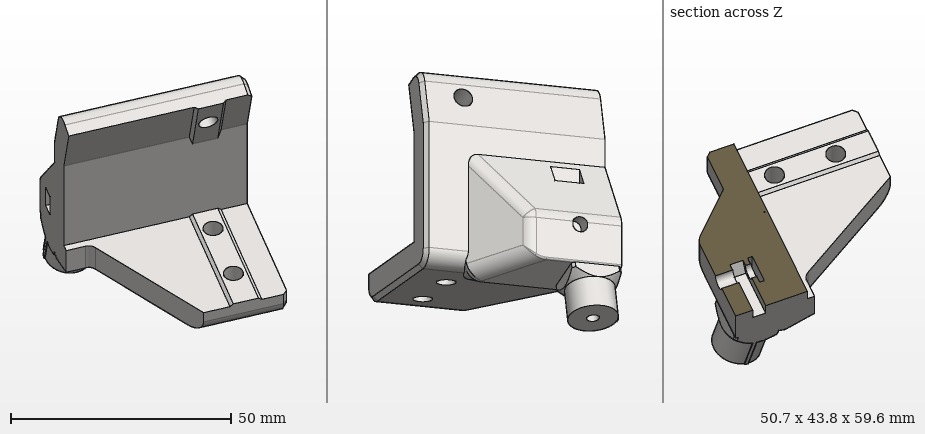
import cadquery as cq
import math

depth = 43.75
thickness = 7.0
shelf_length = 30.1
outer_radius = 4.0
back_chamfer = 1.05

lean = 15.5
lean_start_height = 25.75
lean_length = 13.68

rib_height = 0.65
rib_base_width = 7.6
rib_top_width = 6.0
rib_y = 33.7
mount_hole_diameter = 4.5
shelf_hole_positions = (5.8, 20.85)
lean_hole_distance = 6.3

gusset_angle = 31.9
gusset_end_y = 23.6
gusset_fillet = 2.3

body_back = -17.75
body_top = 20.1
body_slope_bottom = 4.7
body_bottom_back = -6.1
body_lowest_x = -5.6
body_front = 1.7
body_side_y = 33.6
body_side_start_x = -6.6
body_fillet = 4.0
body_edge_fillet = 0.55

stub_axis_x = -15.06
stub_end_z = -18.15
stub_width = 12.0
stub_diameter = 11.6
stub_cylinder_length = 7.6
stub_corner_chamfer = 0.7
stub_key_width = 1.0
stub_hole_diameter = 2.9
stub_hole_depth = 14.0

screw_y = 10.1
screw_z = 2.9
screw_diameter = 3.6
nut_width = 5.8
nut_thickness = 3.1
nut_half_sector = 30.0
nut_slot_back = -13.45
pocket_width = 7.0
pocket_back = -11.0
pocket_front = -8.0
pocket_step_width = 1.15
pocket_step_z = 14.65
pocket_wall_radius = 85.0

reach = 100.0
overlap = 1.0

lean_sin = math.sin(math.radians(lean))
lean_cos = math.cos(math.radians(lean))

stub_length = (body_back - stub_axis_x) * lean_sin + (body_bottom_back - stub_end_z) * lean_cos


def lean_point(along, out):
    """Point on the leaning wall: along it from the bend, and out from its inner face."""
    return (along * lean_sin + out * lean_cos, lean_start_height + along * lean_cos - out * lean_sin)


def side_prism(points, y_start, y_end):
    """Prism along Y over an outline in X and Z."""
    return (
        cq.Workplane("XZ", origin=(0, y_start, 0))
        .polyline(points)
        .close()
        .extrude(y_start - y_end)
    )


def make_bracket():
    bend_offset = thickness * math.tan(math.radians(lean / 2))
    bracket = side_prism(
        [
            (0, 0),
            (shelf_length, 0),
            (shelf_length, -thickness),
            (-thickness, -thickness),
            (-thickness, lean_start_height + bend_offset),
            lean_point(lean_length, -thickness),
            lean_point(lean_length, 0),
            (0, lean_start_height),
        ],
        0,
        depth,
    )
    corners = [
        (shelf_length, -thickness),
        (-thickness, -thickness),
        lean_point(lean_length, -thickness),
    ]
    for x, z in corners:
        corner_edge = cq.selectors.NearestToPointSelector((x, depth / 2, z))
        bracket = bracket.edges("|Y").edges(corner_edge).fillet(outer_radius)

    lean_x, lean_z = lean_point(lean_length / 2, 0)
    outer_edges = bracket.faces(">Y").edges()
    for x, z in [(0, lean_start_height / 2), (shelf_length / 2, 0), (lean_x, lean_z)]:
        inner_edge = cq.selectors.NearestToPointSelector((x, depth, z))
        outer_edges = outer_edges.edges(cq.selectors.InverseSelector(inner_edge))
    return outer_edges.chamfer(back_chamfer)


def rib_section(plane, length):
    """Tapered rib along the plane's normal, standing on its local X axis."""
    return (
        cq.Workplane(plane)
        .polyline(
            [
                (-rib_base_width / 2, -overlap),
                (-rib_base_width / 2, 0),
                (-rib_top_width / 2, rib_height),
                (rib_top_width / 2, rib_height),
                (rib_base_width / 2, 0),
                (rib_base_width / 2, -overlap),
            ]
        )
        .close()
        .extrude(length)
    )


def make_ribs():
    shelf_plane = cq.Plane(origin=(-overlap, rib_y, 0), xDir=(0, 1, 0), normal=(1, 0, 0))
    shelf_rib = rib_section(shelf_plane, shelf_length + overlap)

    run_in = rib_height / math.tan(math.radians(lean)) + overlap
    start_x, start_z = lean_point(-run_in, 0)
    lean_plane = cq.Plane(
        origin=(start_x, rib_y, start_z), xDir=(0, -1, 0), normal=(lean_sin, 0, lean_cos)
    )
    return shelf_rib.union(rib_section(lean_plane, lean_length + run_in))


def make_shelf_trim():
    """Material removed in front of the slanted shelf edge."""
    slope = math.tan(math.radians(gusset_angle))
    trim = (
        cq.Workplane("XY", origin=(0, 0, -reach / 2))
        .polyline(
            [
                (body_front, -overlap),
                (shelf_length + overlap, -overlap),
                (shelf_length + overlap, gusset_end_y + overlap * slope),
                (body_front, gusset_end_y - (shelf_length - body_front) * slope),
            ]
        )
        .close()
        .extrude(reach / 2 + rib_height)
    )
    return trim.edges("|Z and <X").edges(">Y").fillet(gusset_fillet)


def make_body():
    body_lowest_z = body_bottom_back - (body_lowest_x - body_back) * math.tan(math.radians(lean))
    profile = side_prism(
        [
            (0, body_top),
            (-thickness, body_top),
            (body_back, body_slope_bottom),
            (body_back, body_bottom_back),
            (body_lowest_x, body_lowest_z),
            (body_front, -thickness),
            (body_front, 0),
            (0, 0),
        ],
        0,
        depth,
    )
    side_back_y = body_side_y + body_back - body_side_start_x
    plan = (
        cq.Workplane("XY", origin=(0, 0, -reach / 2))
        .polyline(
            [
                (body_back, 0),
                (body_front, 0),
                (body_front, body_side_y),
                (body_side_start_x, body_side_y),
                (body_back, side_back_y),
            ]
        )
        .close()
        .extrude(reach)
    )
    body = profile.intersect(plan)

    slope_edge = cq.selectors.NearestToPointSelector((body_back, side_back_y / 2, body_slope_bottom))
    crease_z = body_bottom_back - (body_side_start_x - body_back) * math.tan(math.radians(lean))
    side_points = [
        ((body_back - thickness) / 2, (body_top + body_slope_bottom) / 2),
        (body_back, 0),
        ((body_back + body_side_start_x) / 2, (body_bottom_back + crease_z) / 2),
        ((body_lowest_x + body_side_start_x) / 2, (body_lowest_z + crease_z) / 2),
        ((body_front + body_lowest_x) / 2, (body_lowest_z - thickness) / 2),
    ]
    rounded = body.edges(slope_edge)
    for x, z in side_points:
        point = (x, body_side_y + min(x - body_side_start_x, 0), z)
        rounded = rounded.add(body.edges(cq.selectors.NearestToPointSelector(point)))
    body = rounded.fillet(body_fillet)

    bottom_edge = cq.selectors.NearestToPointSelector((body_back, side_back_y / 3, body_bottom_back))
    return body.edges(bottom_edge).fillet(body_edge_fillet)


def stub_plane():
    """Plane on the stub's end face, with its normal along the stub into the body."""
    return cq.Plane(
        origin=(stub_axis_x, stub_width / 2, stub_end_z),
        xDir=(lean_cos, 0, -lean_sin),
        normal=(lean_sin, 0, lean_cos),
    )


def make_stub():
    block = (
        cq.Workplane(stub_plane())
        .rect(stub_diameter, stub_width)
        .extrude(stub_length)
        .edges(cq.selectors.ParallelDirSelector(cq.Vector(lean_sin, 0, lean_cos)))
        .chamfer(stub_corner_chamfer)
    )
    radius = stub_diameter / 2
    cone_growth = stub_length - stub_cylinder_length
    cylinder = cq.Workplane(stub_plane()).circle(radius).extrude(stub_cylinder_length)
    cone = (
        cq.Workplane(stub_plane())
        .workplane(offset=stub_cylinder_length)
        .circle(radius)
        .workplane(offset=cone_growth)
        .circle(radius + cone_growth)
        .loft()
    )
    key = (
        cq.Workplane(stub_plane())
        .center(0, -stub_width / 4)
        .rect(stub_key_width, stub_width / 2)
        .extrude(stub_length)
    )
    return block.intersect(cylinder.union(key).union(cone))


def make_mount_holes():
    holes = (
        cq.Workplane("XY", origin=(0, rib_y, -thickness - overlap))
        .pushPoints([(x, 0) for x in shelf_hole_positions])
        .circle(mount_hole_diameter / 2)
        .extrude(thickness + rib_height + 2 * overlap)
    )
    x, z = lean_point(lean_hole_distance, -thickness - overlap)
    lean_plane = cq.Plane(origin=(x, rib_y, z), xDir=(0, 1, 0), normal=(lean_cos, 0, -lean_sin))
    lean_hole = (
        cq.Workplane(lean_plane)
        .circle(mount_hole_diameter / 2)
        .extrude(thickness + rib_height + 2 * overlap)
    )
    return holes.union(lean_hole)


def make_screw_cut():
    """Screw hole from the back face into the pocket, and the nut slot with its pointed end."""
    hole = (
        cq.Workplane("YZ", origin=(body_back - overlap, screw_y, screw_z))
        .circle(screw_diameter / 2)
        .extrude(pocket_front - body_back + overlap)
    )
    half = nut_width / 2
    corner_y = screw_y + half * math.tan(math.radians(nut_half_sector))
    point_y = screw_y + half / math.cos(math.radians(nut_half_sector))
    slot = (
        cq.Workplane("YZ", origin=(nut_slot_back, 0, screw_z))
        .polyline([(-overlap, -half), (corner_y, -half), (point_y, 0), (corner_y, half), (-overlap, half)])
        .close()
        .extrude(nut_thickness)
    )
    return hole.union(slot)


def make_strip_pocket():
    """Pocket open at the sloped face, with a step and a curved back wall running out at its bottom."""
    wall_x = pocket_back + pocket_step_width
    gap = pocket_front - wall_x

    def wall_point(offset):
        drop = math.sqrt(pocket_wall_radius**2 - (pocket_wall_radius - offset) ** 2)
        return (wall_x + offset, pocket_step_z - drop)

    return (
        cq.Workplane("XZ", origin=(0, screw_y + pocket_width / 2, 0))
        .moveTo(pocket_front, body_top)
        .lineTo(pocket_back, body_top)
        .lineTo(pocket_back, pocket_step_z)
        .lineTo(wall_x, pocket_step_z)
        .threePointArc(wall_point(gap / 4), wall_point(gap))
        .close()
        .extrude(pocket_width)
    )


def make_stub_hole():
    return cq.Workplane(stub_plane()).circle(stub_hole_diameter / 2).extrude(stub_hole_depth)


result = (
    make_bracket()
    .union(make_ribs())
    .cut(make_shelf_trim())
    .union(make_body())
    .union(make_stub())
    .cut(make_mount_holes())
    .cut(make_screw_cut())
    .cut(make_strip_pocket())
    .cut(make_stub_hole())
)